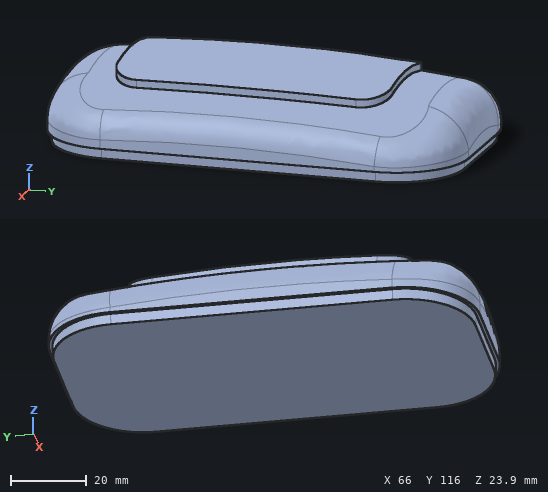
import cadquery as cq

body_width = 66.0
body_length = 116.0
corner_radius = 20.0

foot_height = 3.0
foot_inset = 1.0
foot_draft_degrees = 4.0

total_height = 23.89
pad_thickness = 2.0
crown_height = total_height - pad_thickness
crown_y = -6.5
cross_radius = 55.5
length_radius = 500.0
section_depth = 100.0
section_overhang = 10.0

side_rounding = 8.5
end_rounding = 12.0

pad_y_min = -39.4
pad_y_max = 36.6
pad_mid_half_width = 21.5
pad_rear_half_width = 20.0
pad_front_half_width = 20.6
pad_corner_radius = 8.0


def dome(raise_by):
    """Solid filling the space under the dome, with the dome offset outward by raise_by."""
    section_half_width = body_width / 2 + section_overhang
    radius = cross_radius + raise_by
    peak = crown_height + raise_by
    edge_z = peak - radius + (radius**2 - section_half_width**2) ** 0.5
    section = (
        cq.Workplane("XZ", origin=(0, crown_y, 0))
        .moveTo(-section_half_width, -section_depth)
        .lineTo(-section_half_width, edge_z)
        .threePointArc((0, peak), (section_half_width, edge_z))
        .lineTo(section_half_width, -section_depth)
        .close()
    )
    axis_z = crown_height - length_radius
    return section.revolve(360, (0, axis_z, 0), (1, axis_z, 0))


def round_top_edges(body):
    """Round the dome edge: small along the sides, large across the ends, blended at the corners."""
    top_face = body.faces(">Z")
    rounding = cq.occ_impl.shapes.BRepFilletAPI_MakeFillet(body.val().wrapped)
    rounding.Add(top_face.edges().val().wrapped)
    contour = 1
    side_limit = body_width / 2 - corner_radius / 2
    for vertex in top_face.vertices().vals():
        on_side = abs(vertex.X) > side_limit
        rounding.SetRadius(side_rounding if on_side else end_rounding, contour, vertex.wrapped)
    return cq.Workplane(cq.Solid(rounding.Shape()))


def make_body():
    """Rounded rectangular block cut off by the dome, with its top edge rounded."""
    block = (
        cq.Workplane("XY", origin=(0, 0, foot_height))
        .rect(body_width, body_length)
        .extrude(total_height)
        .edges("|Z")
        .fillet(corner_radius)
    )
    domed_block = block.intersect(dome(0)).solids()
    return round_top_edges(domed_block)


def make_foot():
    """Foot under the body, narrowing slightly toward the bottom."""
    outline = (
        cq.Sketch()
        .rect(body_width - 2 * foot_inset, body_length - 2 * foot_inset)
        .vertices()
        .fillet(corner_radius - foot_inset)
    )
    return (
        cq.Workplane("XY", origin=(0, 0, foot_height))
        .placeSketch(outline)
        .extrude(-foot_height, taper=foot_draft_degrees)
    )


def make_pad():
    """Raised pad with bowed sides, topped by a surface parallel to the dome."""
    pad_y_mid = (pad_y_min + pad_y_max) / 2
    prism = (
        cq.Workplane("XY", origin=(0, 0, foot_height))
        .moveTo(-pad_front_half_width, pad_y_min)
        .lineTo(pad_front_half_width, pad_y_min)
        .threePointArc((pad_mid_half_width, pad_y_mid), (pad_rear_half_width, pad_y_max))
        .lineTo(-pad_rear_half_width, pad_y_max)
        .threePointArc((-pad_mid_half_width, pad_y_mid), (-pad_front_half_width, pad_y_min))
        .close()
        .extrude(total_height)
        .edges("|Z")
        .fillet(pad_corner_radius)
    )
    return prism.intersect(dome(pad_thickness))


result = make_body().union(make_foot()).union(make_pad())